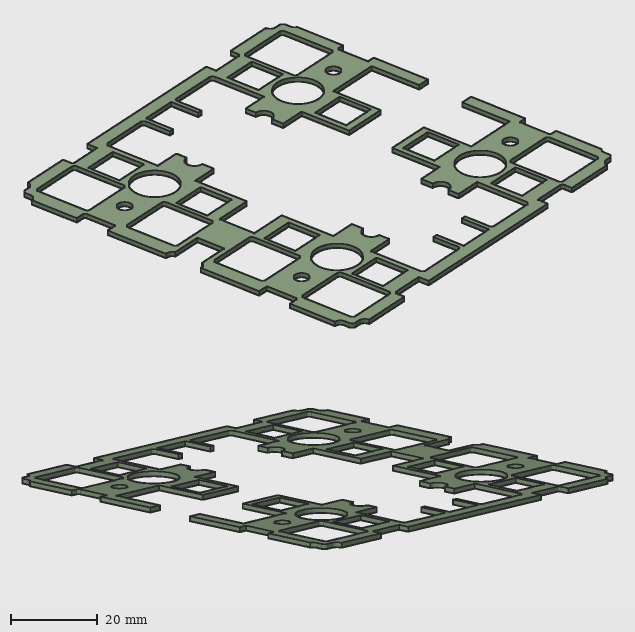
import cadquery as cq

side = 100.0
half_side = side / 2
thickness = 1.2
top_trim = 0.8

corner_inset = 1.6
shoulder_reach = 4.0
tip_radius = 1.0

rail_inner = 46.5
edge_bar_inner = 45.9
column_outer = 31.2
column_inner = 20.2
column_tip = 12.9
arm_outer = 31.6
arm_inner = 19.8
upper_arm_end = 6.3
lower_arm_end = 5.1
lower_window_end = 5.4

window_radius = 0.8

small_window = 9.1
small_window_y = 25.9
small_window_xs = (38.6, 12.9)

large_hole = 12.0
large_hole_at = 26.7
small_hole = 3.7
small_hole_x = 25.9
small_hole_y = 38.9
tip_notch = 4.6

edge_notch_near = 22.2
edge_notch_far = 31.2
edge_notch_depth = 2.9
edge_notch_radius = 0.6

rib_tip = 38.6
rib_outer = 5.9
rib_inner = 4.7

bridge_top = -30.0
bridge_bottom = -39.8
slot_half_width = 3.9
slot_mouth_radius = 1.6
slot_mouth_x = 3.5
slot_mouth_y = -49.6


def block(x1, y1, x2, y2):
    """Full-thickness box between two opposite corners."""
    return (
        cq.Workplane("XY")
        .box(abs(x2 - x1), abs(y2 - y1), thickness, centered=(True, True, False))
        .translate(((x1 + x2) / 2, (y1 + y2) / 2, 0))
    )


def disc(diameter, x, y):
    return cq.Workplane("XY").center(x, y).circle(diameter / 2).extrude(thickness)


def corner_relief():
    """Material outside the inset tip at the (+X, +Y) corner."""
    tip = half_side - corner_inset
    shoulder = half_side - shoulder_reach
    tip_block = block(shoulder, shoulder, tip, tip).edges("|Z and >X and >Y").fillet(tip_radius)
    relief = block(shoulder, shoulder, half_side, half_side).cut(tip_block)
    for x, y in ((half_side, shoulder), (shoulder, half_side)):
        relief = relief.union(disc(2 * corner_inset, x, y))
    return relief


def edge_notches():
    """Notches in the +X and +Y edges; the corner nearer the plate corner is rounded."""
    floor = half_side - edge_notch_depth
    on_x = block(floor, edge_notch_near, half_side, edge_notch_far)
    on_x = on_x.edges("|Z and <X and >Y").fillet(edge_notch_radius)
    on_y = block(edge_notch_near, floor, edge_notch_far, half_side)
    on_y = on_y.edges("|Z and >X and <Y").fillet(edge_notch_radius)
    return on_x.union(on_y)


def quarter(arm_end):
    """Quarter of the plate at +X, +Y, with its arm and edge bar ending at x = arm_end."""
    body = block(arm_end, 0, half_side, half_side)
    corner_window = block(column_outer, arm_outer, rail_inner, edge_bar_inner)
    body = body.cut(corner_window.edges("|Z").fillet(window_radius))

    body = body.cut(block(arm_end, 0, column_inner, arm_inner))
    body = body.cut(block(column_inner, 0, column_outer, column_tip))
    bay = block(column_outer, rib_outer, rail_inner, arm_inner)
    body = body.cut(bay.edges("|Z and >X").fillet(window_radius))
    body = body.cut(block(column_outer, 0, rib_tip, rib_outer))
    body = body.cut(block(rib_tip, 0, rail_inner, rib_inner))

    reach = small_window / 2
    for x in small_window_xs:
        body = body.cut(block(x - reach, small_window_y - reach, x + reach, small_window_y + reach))
    body = body.cut(disc(large_hole, large_hole_at, large_hole_at))
    body = body.cut(disc(small_hole, small_hole_x, small_hole_y))
    body = body.cut(disc(tip_notch, small_hole_x, column_tip))
    return body.cut(edge_notches()).cut(corner_relief())


def upper_quarter():
    """The bay next to the gap in the upper edge bar is open."""
    body = quarter(upper_arm_end)
    body = body.cut(block(upper_arm_end, arm_outer, column_inner, edge_bar_inner))
    return body.cut(block(0, half_side - top_trim, half_side, half_side))


def lower_quarter():
    body = quarter(lower_arm_end)
    window = block(lower_window_end, arm_outer, column_inner, edge_bar_inner)
    return body.cut(window.edges("|Z").fillet(window_radius)).mirror("XZ")


def bridge():
    """Centre bridge joining the lower arms, with the side walls of the slot below it."""
    body = block(-lower_arm_end, -half_side, lower_arm_end, bridge_top)
    body = body.cut(block(-slot_half_width, -half_side, slot_half_width, bridge_bottom))
    for side_sign in (-1, 1):
        body = body.cut(disc(2 * slot_mouth_radius, side_sign * slot_mouth_x, slot_mouth_y))
    return body


right_half = upper_quarter().union(lower_quarter())
result = right_half.union(right_half.mirror("YZ")).union(bridge())